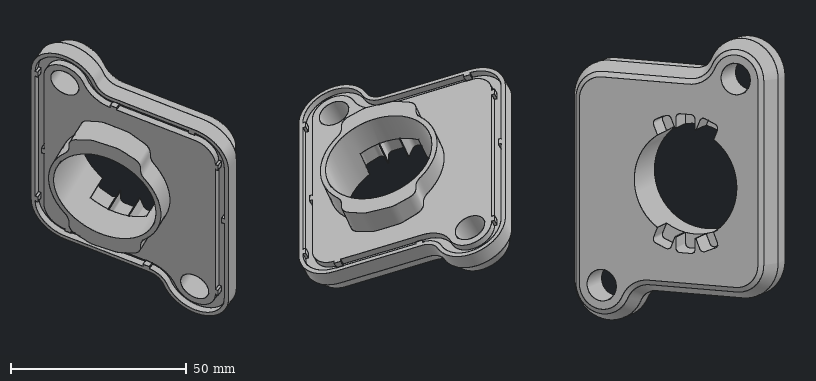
import cadquery as cq
import math

width = 64.0
height = 85.0
body_height = 65.8
corner_radius = 11.0
neck_radius = 5.1
rim_thickness = 4.85
taper_height = 4.3
taper_angle = 30.0
edge_bevel_height = 0.85
edge_bevel_angle = 60.0
plate_thickness = rim_thickness + taper_height + edge_bevel_height

screw_hole_diameter = 9.1
hole_x = width / 2 - corner_radius
hole_z = height / 2 - corner_radius

corner_z = body_height / 2 - corner_radius

neck_z = body_height / 2 + neck_radius
neck_x = math.sqrt((corner_radius + neck_radius) ** 2 - (neck_z - hole_z) ** 2) - hole_x

groove_outer_inset = 1.4
groove_inner_inset = 4.25
groove_depth = 2.0
tab_length = 2.0
tab_height = 0.85

tilt = 4.0
tube_x = -4.6
tube_length = 7.5
tube_root = 4.25
tube_radius = 17.6
bore_diameter = 32.0
lug_half_width = 11.2
lug_facet_angle = 22.5
lug_apothem = 21.4
lug_corner_radius = 3.2
lug_crest_radius = 5.4
lug_root_radius = 4.25

slot_width = 5.95
slot_floor_radius = 20.1
slot_depth = 8.0
slot_corner_radius = 1.3

overrun = 8.5


def front_plane(y):
    """Workplane parallel to the front face at depth y (local axes are X and Z)."""
    return cq.Workplane("XZ", origin=(0, y, 0))


def on_circle(center, radius, angle):
    """Point on a circle, with the angle in radians."""
    return (center[0] + radius * math.cos(angle), center[1] + radius * math.sin(angle))


def outline(y):
    """Plate outline at depth y: a rectangle with two opposite ears, each joined by a concave neck."""
    ear = (-hole_x, hole_z)
    corner = (hole_x, corner_z)
    neck = (neck_x, neck_z)
    ear_end = math.atan2(neck_z - hole_z, neck_x + hole_x)
    neck_start = ear_end - math.pi
    neck_end = -math.pi / 2

    wire = front_plane(y).moveTo(-width / 2, hole_z)
    for sign in (1, -1):

        def turned(center, radius, angle):
            x, z = on_circle(center, radius, angle)
            return (sign * x, sign * z)

        wire = (
            wire.threePointArc(
                turned(ear, corner_radius, (math.pi + ear_end) / 2),
                turned(ear, corner_radius, ear_end),
            )
            .threePointArc(
                turned(neck, neck_radius, (neck_start + neck_end) / 2),
                turned(neck, neck_radius, neck_end),
            )
            .lineTo(*turned(corner, corner_radius, math.pi / 2))
            .threePointArc(
                turned(corner, corner_radius, math.pi / 4),
                turned(corner, corner_radius, 0),
            )
            .lineTo(sign * width / 2, -sign * hole_z)
        )
    return wire.close()


def make_plate():
    """Straight rim, then two tapered stages toward the back face."""
    taper_inset = taper_height * math.tan(math.radians(taper_angle))
    rim = outline(0).extrude(-rim_thickness)
    taper = outline(rim_thickness).extrude(-taper_height, taper=taper_angle)
    bevel = (
        outline(rim_thickness + taper_height)
        .offset2D(-taper_inset)
        .extrude(-edge_bevel_height, taper=edge_bevel_angle)
    )
    return rim.union(taper).union(bevel)


def groove_tab(x, z, along_x):
    """Tab filling the groove depth, centered at (x, z) on a groove wall."""
    size = (tab_length, 2 * tab_height) if along_x else (2 * tab_height, tab_length)
    return front_plane(0).center(x, z).rect(*size).extrude(-groove_depth)


def make_groove():
    """Seal groove minus the tabs, which stand beside the ends of the straight walls."""
    groove = outline(0).offset2D(-groove_outer_inset).extrude(-groove_depth)
    groove = groove.cut(outline(0).offset2D(-groove_inner_inset).extrude(-groove_depth))
    half_tab = tab_length / 2
    outer_x = width / 2 - groove_outer_inset
    inner_x = width / 2 - groove_inner_inset
    outer_z = body_height / 2 - groove_outer_inset
    inner_z = body_height / 2 - groove_inner_inset
    side_tabs = [
        (-outer_x, hole_z - half_tab),
        (-outer_x, -corner_z + half_tab),
        (outer_x, 0),
        (inner_x, corner_z - half_tab),
        (inner_x, -hole_z + half_tab),
        (-inner_x, 0),
    ]
    edge_tabs = [
        (hole_x - half_tab, outer_z),
        (neck_x + half_tab, inner_z),
        (-hole_x + half_tab, -inner_z),
        (-neck_x - half_tab, -outer_z),
    ]
    for x, z in side_tabs:
        groove = groove.cut(groove_tab(x, z, along_x=False))
    for x, z in edge_tabs:
        groove = groove.cut(groove_tab(x, z, along_x=True))
    return groove


def along_tube(solid):
    """Move a solid built around the Y axis onto the tilted tube axis."""
    return solid.rotate((0, 0, 0), (0, 0, 1), tilt).translate((tube_x, 0, 0))


def edges_at(solid, x, z=None):
    """Edges parallel to Y whose distance from the center is x sideways (and z vertically)."""
    tolerance = 0.01

    def matches(edge):
        center = edge.Center()
        return abs(abs(center.x) - x) < tolerance and (z is None or abs(abs(center.z) - z) < tolerance)

    return solid.edges("|Y").filter(matches)


def make_tube():
    """Outer tube body with a three-faceted lug above and below it."""
    length = tube_length + tube_root
    facet_angle = math.radians(lug_facet_angle)
    crest_x = lug_apothem * math.tan(facet_angle / 2)
    shoulder_z = lug_apothem - (lug_half_width - crest_x) * math.tan(facet_angle)
    lug_outline = [
        (-lug_half_width, -shoulder_z),
        (-crest_x, -lug_apothem),
        (crest_x, -lug_apothem),
        (lug_half_width, -shoulder_z),
        (lug_half_width, shoulder_z),
        (crest_x, lug_apothem),
        (-crest_x, lug_apothem),
        (-lug_half_width, shoulder_z),
    ]
    lugs = front_plane(tube_root).polyline(lug_outline).close().extrude(length)
    lugs = edges_at(lugs, crest_x).fillet(lug_crest_radius)
    lugs = edges_at(lugs, lug_half_width).fillet(lug_corner_radius)
    tube = lugs.union(front_plane(tube_root).circle(tube_radius).extrude(length))
    root_z = math.sqrt(tube_radius**2 - lug_half_width**2)
    tube = edges_at(tube, lug_half_width, root_z).fillet(lug_root_radius)
    return along_tube(tube)


def make_bore():
    """Through bore of the tube, along its tilted axis."""
    start = -tube_length - overrun
    length = tube_length + plate_thickness + 2 * overrun
    return along_tube(front_plane(start).circle(bore_diameter / 2).extrude(-length))


def make_slots():
    """Round-cornered slots cut into the bore wall from the back, parallel to the tube axis."""
    slot = (
        front_plane(plate_thickness - slot_depth)
        .rect(slot_width, 2 * slot_floor_radius)
        .extrude(-slot_depth - overrun)
        .edges("|Y")
        .fillet(slot_corner_radius)
    )
    slots = slot
    for angle in (-lug_facet_angle, lug_facet_angle):
        slots = slots.union(slot.rotate((0, 0, 0), (0, 1, 0), angle))
    return along_tube(slots)


def make_screw_holes():
    """Straight through holes in the two ears."""
    return (
        front_plane(0)
        .pushPoints([(-hole_x, hole_z), (hole_x, -hole_z)])
        .circle(screw_hole_diameter / 2)
        .extrude(-plate_thickness)
    )


result = (
    make_plate()
    .cut(make_groove())
    .union(make_tube())
    .cut(make_bore())
    .cut(make_slots())
    .cut(make_screw_holes())
)